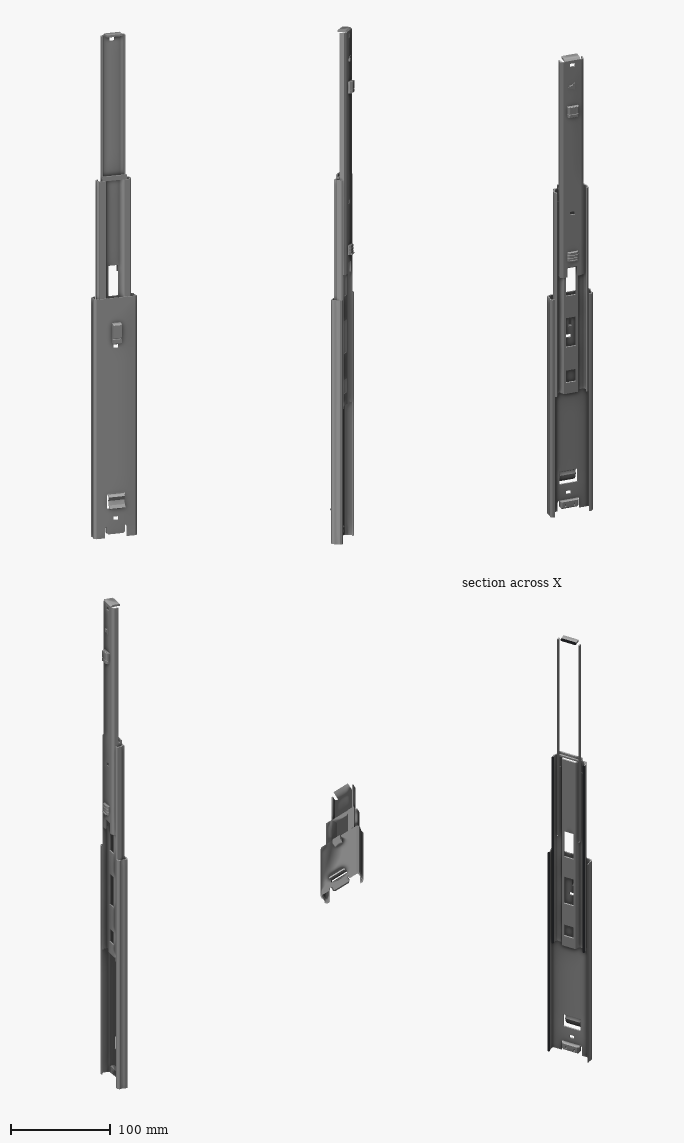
import cadquery as cq
import math


SHEET = 1.3

OUTER_TOP = 250.5
OUTER_HALF_WIDTH = 22.85
OUTER_BACK = 6.0
OUTER_FRONT = -6.0
OUTER_LIP_EDGE = 18.5
OUTER_BEVEL = 1.5
OUTER_BACK_BEVEL_X = 3.95
RACE_X = -1.0
RACE_HALF_WIDTH = 2.5
RACE_DEPTH = 0.8

MIDDLE_BOTTOM = 138.0
MIDDLE_TOP = 373.0
MIDDLE_HALF_WIDTH = 18.1
MIDDLE_FRONT = -5.0
MIDDLE_BACK = 4.0
MIDDLE_WEB_X = -2.0
WEB_EDGE = 7.1
VALLEY_INNER = 10.25
VALLEY_OUTER = 16.0
SHOULDER_BACK = 1.85
SHOULDER_FRONT = 0.0
MIDDLE_LIP_BEVEL = 1.5
MIDDLE_WINDOW_WIDTH = 10.5
MIDDLE_WINDOWS = [(250.5, 282.5), (191.5, 225.0), (150.5, 165.0)]

INNER_BOTTOM = 274.5
INNER_TOP = 523.0
INNER_HALF_WIDTH = 12.5
INNER_FRONT = -7.1
INNER_BACK = -0.5
INNER_BEVEL_DEPTH = 1.5
INNER_BEVEL_WIDTH = 2.5
NOTCH_WIDTH = 11.0
NOTCH_TOP = 285.5
END_TAB_HALF_WIDTH = 8.5
END_TAB_BACK = 2.5
END_TAB_CHAMFER = 1.5
OVERALL_TOP = 525.0

HOLE_WIDTH = 5.0
HOLE_HEIGHT = 3.5
INNER_HOLES = [518.0, 347.5]
OUTER_HOLES = [200.0, 20.0]

CLIP_FRONT = -11.0
CLIP_WIDTH = 11.5
CLIP_CHAMFER = 1.5
GROOVE_WIDTH = 0.5
GROOVE_DEPTH = 2.0
UPPER_CLIP = (460.0, 471.5)
LOWER_CLIP = (294.0, 303.5)
LOWER_CLIP_FRONT = -10.0
LOWER_CLIP_LIP = 1.0
CLIP_GROOVE_PITCH = 3.0

MARK_Z = 493.5
MARK_HALF_HEIGHT = 4.0
MARK_TIP_Y = 4.0
MARK_BASE_Y = -2.5
MARK_HEIGHT = 0.5
PEG_SIZE = 3.0
PEG_Y = 1.5
PEG_HEIGHT = 1.5

HOOK_BACK = 11.0
HOOK_WIDTH = 9.0
HOOK_BOTTOM = 204.0
HOOK_TOP = 224.5
HOOK_SLIT_Z = 208.5
HOOK_SLIT_HEIGHT = 1.5
HOOK_SLIT_DEPTH = 3.0
HOOK_POCKET_Y = (-3.5, 0.0)
HOOK_POCKET_Z = (211.0, 223.0)
HOOK_POCKET_DEPTH = 4.0
SPRING_BOTTOM = 30.5
SPRING_TOP = 45.5
SPRING_BENDS = [(5.0, 45.0), (8.5, 43.0), (7.0, 39.5), (8.5, 34.5), (10.5, 31.5)]
SPRING_OPENING_WIDTH = 19.0
SPRING_WIDTH = 17.0

OUTER_NOTCH_WIDTH = 23.0
OUTER_NOTCH_TOP = 12.0
OUTER_NOTCH_CHAMFER = 1.5
BUMPER_WIDTH = 19.5
BUMPER_BOTTOM = 3.5
BUMPER_FRONT = 0.0
BUMPER_CHAMFER = 1.5
BUMPER_SLOT_Y = 4.5
BUMPER_SLOT_WIDTH = 1.5
BUMPER_SLOT_HEIGHT = 3.0

STOP_HALF_WIDTH = 12.5
STOP_FRONT = 0.0
STOP_BACK = 3.0
STOP_LEDGE = 2.0
STOP_HEIGHT = 4.5
STOP_WALL = 1.5

STRIP_TOP = 358.5
STRIP_THICKNESS = 1.0


def box(x_range, y_range, z_range):
    """Box between the given limits."""
    size = [high - low for low, high in (x_range, y_range, z_range)]
    start = (x_range[0], y_range[0], z_range[0])
    return cq.Workplane("XY").box(*size, centered=False).translate(start)


def centred_box(x_range, width, z_range):
    """Box symmetric about Y = 0."""
    return box(x_range, (-width / 2, width / 2), z_range)


def offset_side(path, distance):
    """Path shifted sideways by a distance, with mitred corners."""
    normals = []
    for (x0, y0), (x1, y1) in zip(path, path[1:]):
        length = math.hypot(x1 - x0, y1 - y0)
        normals.append(((y0 - y1) / length, (x1 - x0) / length))
    before = [normals[0]] + normals
    after = normals + [normals[-1]]
    shifted = []
    for (x, y), a, b in zip(path, before, after):
        stretch = distance / (1 + a[0] * b[0] + a[1] * b[1])
        shifted.append((x + stretch * (a[0] + b[0]), y + stretch * (a[1] + b[1])))
    return shifted


def strip_outline(path, thickness):
    """Closed outline of a strip with the path as its centre line."""
    return offset_side(path, thickness / 2) + offset_side(path, -thickness / 2)[::-1]


def rail(half_path, bottom, top):
    """Sheet rail whose centre line is the (x, y) half path and its mirror image."""
    mirrored = [(x, -y) for x, y in reversed(half_path)]
    outline = strip_outline(mirrored + half_path, SHEET)
    profile = cq.Workplane("XY").workplane(offset=bottom).polyline(outline).close()
    return profile.extrude(top - bottom)


def web_holes(web_front, heights):
    """Cutters for the small rectangular holes through a web."""
    cutters = cq.Workplane("XY")
    for z in heights:
        z_range = (z - HOLE_HEIGHT / 2, z + HOLE_HEIGHT / 2)
        cutters.add(centred_box((web_front, web_front + SHEET), HOLE_WIDTH, z_range))
    return cutters.combine()



def mounting_hook():
    hook = centred_box((OUTER_BACK, HOOK_BACK), HOOK_WIDTH, (HOOK_BOTTOM, HOOK_TOP))
    hook = hook.edges(">X and >Z").chamfer(CLIP_CHAMFER)
    slit_z = (HOOK_SLIT_Z, HOOK_SLIT_Z + HOOK_SLIT_HEIGHT)
    return hook.cut(centred_box((HOOK_BACK - HOOK_SLIT_DEPTH, HOOK_BACK), HOOK_WIDTH, slit_z))


def spring_tongue():
    """Wavy tongue hanging from the top edge of its opening."""
    root = (OUTER_BACK - SHEET / 2, SPRING_TOP + SHEET)
    profile = cq.Workplane("XZ").polyline(strip_outline([root] + SPRING_BENDS, SHEET)).close()
    return profile.extrude(SPRING_WIDTH / 2, both=True)


def ball_races():
    """Cylinders that cut a shallow round race into both flanges."""
    radius = (RACE_HALF_WIDTH ** 2 + RACE_DEPTH ** 2) / (2 * RACE_DEPTH)
    axis_y = OUTER_HALF_WIDTH - RACE_DEPTH + radius
    axes = cq.Workplane("XY").pushPoints([(RACE_X, axis_y), (RACE_X, -axis_y)])
    return axes.circle(radius).extrude(OUTER_TOP)


def outer_rail():
    web_x = OUTER_BACK - SHEET / 2
    lip_x = OUTER_FRONT + SHEET / 2
    flange_y = OUTER_HALF_WIDTH - SHEET / 2
    half_path = [
        (web_x, flange_y - OUTER_BEVEL),
        (OUTER_BACK_BEVEL_X, flange_y),
        (lip_x + OUTER_BEVEL, flange_y),
        (lip_x, flange_y - OUTER_BEVEL),
        (lip_x, OUTER_LIP_EDGE),
    ]
    body = rail(half_path, 0, OUTER_TOP).cut(ball_races())

    web = (OUTER_BACK - SHEET, OUTER_BACK)
    notch = centred_box(web, OUTER_NOTCH_WIDTH, (0, OUTER_NOTCH_TOP))
    body = body.cut(notch.edges("|X and >Z").chamfer(OUTER_NOTCH_CHAMFER))
    body = body.cut(web_holes(web[0], OUTER_HOLES))
    body = body.cut(centred_box(web, SPRING_OPENING_WIDTH, (SPRING_BOTTOM, SPRING_TOP)))
    body = body.union(spring_tongue()).union(mounting_hook())
    return body.cut(box((web[0], web[0] + HOOK_POCKET_DEPTH), HOOK_POCKET_Y, HOOK_POCKET_Z))



def middle_rail():
    floor_x = MIDDLE_BACK - SHEET / 2
    flange_y = MIDDLE_HALF_WIDTH - SHEET / 2
    half_path = [
        (MIDDLE_WEB_X, WEB_EDGE),
        (floor_x, VALLEY_INNER),
        (floor_x, VALLEY_OUTER),
        (SHOULDER_BACK, VALLEY_OUTER),
        (SHOULDER_FRONT, flange_y),
        (MIDDLE_FRONT + MIDDLE_LIP_BEVEL, flange_y),
        (MIDDLE_FRONT, VALLEY_OUTER),
    ]
    body = rail(half_path, MIDDLE_BOTTOM, MIDDLE_TOP)
    web = (MIDDLE_WEB_X - SHEET, MIDDLE_WEB_X + SHEET)
    for window in MIDDLE_WINDOWS:
        body = body.cut(centred_box(web, MIDDLE_WINDOW_WIDTH, window))
    return body



def clip(front, z_range):
    """Plain clip block standing on the inner web, with its long front edges chamfered."""
    return centred_box((front, INNER_FRONT), CLIP_WIDTH, z_range).edges("<X and |Z").chamfer(CLIP_CHAMFER)


def upper_clip():
    """Clip with upright grooves crossed by one level groove."""
    block = clip(CLIP_FRONT, UPPER_CLIP)
    depth = (CLIP_FRONT, CLIP_FRONT + GROOVE_DEPTH)
    for i in (-1, 0, 1):
        y = i * CLIP_GROOVE_PITCH
        block = block.cut(box(depth, (y - GROOVE_WIDTH / 2, y + GROOVE_WIDTH / 2), UPPER_CLIP))
    level = UPPER_CLIP[0] + CLIP_GROOVE_PITCH
    return block.cut(centred_box(depth, CLIP_WIDTH, (level, level + GROOVE_WIDTH)))


def lower_clip():
    """Clip with level grooves and a lip along its bottom."""
    block = clip(LOWER_CLIP_FRONT, LOWER_CLIP)
    depth = (LOWER_CLIP_FRONT, LOWER_CLIP_FRONT + GROOVE_DEPTH)
    for i in (1, 2):
        z = LOWER_CLIP[0] + i * CLIP_GROOVE_PITCH
        block = block.cut(centred_box(depth, CLIP_WIDTH, (z, z + GROOVE_WIDTH)))
    lip_z = (LOWER_CLIP[0], LOWER_CLIP[0] + LOWER_CLIP_LIP)
    lip_width = CLIP_WIDTH - 2 * CLIP_CHAMFER
    return block.union(centred_box((CLIP_FRONT, INNER_FRONT), lip_width, lip_z))


def direction_mark():
    """Low triangular pad pointing to +Y, carrying a small peg."""
    triangle = [
        (MARK_TIP_Y, MARK_Z),
        (MARK_BASE_Y, MARK_Z + MARK_HALF_HEIGHT),
        (MARK_BASE_Y, MARK_Z - MARK_HALF_HEIGHT),
    ]
    plane = cq.Workplane("YZ", origin=(INNER_FRONT, 0, 0))
    pad = plane.polyline(triangle).close().extrude(-MARK_HEIGHT)
    return pad.union(plane.center(PEG_Y, MARK_Z).rect(PEG_SIZE, PEG_SIZE).extrude(-PEG_HEIGHT))


def inner_rail():
    web_x = INNER_FRONT + SHEET / 2
    flange_y = INNER_HALF_WIDTH - SHEET / 2
    half_path = [
        (web_x, flange_y - INNER_BEVEL_WIDTH),
        (web_x + INNER_BEVEL_DEPTH, flange_y),
        (INNER_BACK, flange_y),
    ]
    body = rail(half_path, INNER_BOTTOM, INNER_TOP)

    web = (INNER_FRONT, INNER_FRONT + SHEET)
    body = body.cut(centred_box(web, NOTCH_WIDTH, (INNER_BOTTOM, NOTCH_TOP)))
    body = body.cut(web_holes(web[0], INNER_HOLES))
    end_tab_z = (INNER_TOP, OVERALL_TOP)
    end_tab = centred_box((INNER_FRONT, END_TAB_BACK), 2 * END_TAB_HALF_WIDTH, end_tab_z)
    end_tab = end_tab.edges("<X and >Z").chamfer(END_TAB_CHAMFER)
    for feature in (end_tab, direction_mark(), upper_clip(), lower_clip()):
        body = body.union(feature)
    return body



def bottom_bumper():
    """Block under the top edge of the outer rail's notch, with two slots."""
    depth = (BUMPER_FRONT, OUTER_BACK)
    body = centred_box(depth, BUMPER_WIDTH, (BUMPER_BOTTOM, OUTER_NOTCH_TOP))
    body = body.edges("|X and <Z").chamfer(BUMPER_CHAMFER)
    body = body.faces("<X").edges("not >Z").chamfer(BUMPER_CHAMFER)
    middle_z = (BUMPER_BOTTOM + OUTER_NOTCH_TOP) / 2
    slots = cq.Workplane("YZ").pushPoints([(-BUMPER_SLOT_Y, middle_z), (BUMPER_SLOT_Y, middle_z)])
    return body.cut(slots.rect(BUMPER_SLOT_WIDTH, BUMPER_SLOT_HEIGHT).extrude(OUTER_BACK / 2))


def top_stop():
    """Stepped bar resting on the top end of the middle rail."""
    width = 2 * STOP_HALF_WIDTH
    ledge = centred_box((STOP_FRONT, STOP_BACK), width, (MIDDLE_TOP, MIDDLE_TOP + STOP_LEDGE))
    wall_x = (STOP_BACK - STOP_WALL, STOP_BACK)
    return ledge.union(centred_box(wall_x, width, (MIDDLE_TOP, MIDDLE_TOP + STOP_HEIGHT)))


def slide_strip(side):
    """Strip on the valley floor of the middle rail, on the +Y (1) or -Y (-1) side."""
    floor = MIDDLE_BACK - SHEET
    y_range = sorted((side * (VALLEY_INNER + SHEET / 2), side * (VALLEY_OUTER - SHEET / 2)))
    return box((floor - STRIP_THICKNESS, floor), y_range, (MIDDLE_BOTTOM, STRIP_TOP))


strips = [slide_strip(side) for side in (1, -1)]

result = cq.Compound.makeCompound([
    outer_rail().val(),
    middle_rail().val(),
    inner_rail().val(),
    bottom_bumper().val(),
    top_stop().val(),
    *[strip.val() for strip in strips],
])